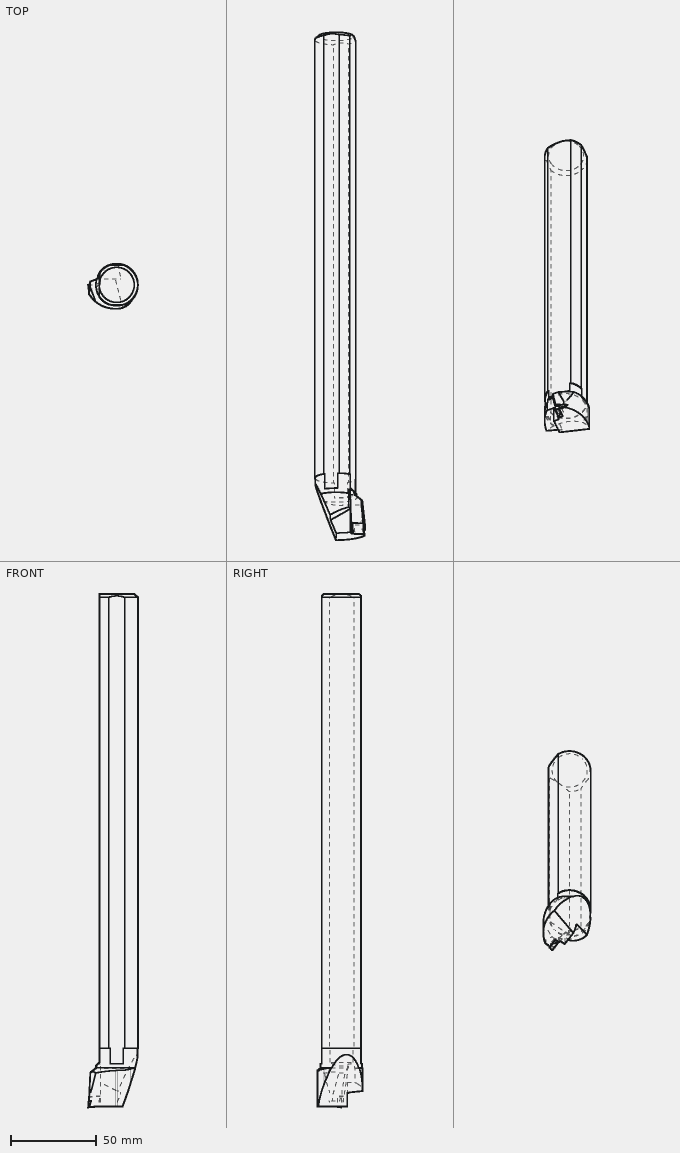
import cadquery as cq
import math

SHANK_RADIUS = 12.5
SHANK_TOP = 300.0
BEVEL_HEIGHT = 2.0
BEVEL_RADIUS = 10.3
SIDE_FLAT_Y = 11.6
LEFT_FLAT_X = 10.2

NECK_TOP = 33.5
NECK_RADIUS = 12.25
SIDE_FLAT_BOTTOM = 24.5
LEFT_FLAT_BOTTOM = 25.3
LEDGE_ANGLE = 45.0

HEAD_BOTTOM = -0.7
HEAD_RADIUS = SHANK_RADIUS
HEAD_FRONT_Y = -14.07
STRIP_LEFT_X = -0.9
STRIP_RIGHT_X = 0.2
LEFT_ARC_RADIUS = 18.0
RIGHT_ARC_RADIUS = 9.8
RIGHT_ARC_END_X = 8.0
RIGHT_FLAT_END_X = 10.0
FLARE_TOP = 22.0
FLARE_BOTTOM = 19.2
FLARE_BOTTOM_RADIUS = 15.6

RELIEF_POINT = (7.3, -11.7, 9.7)
RELIEF_NORMAL = (2.4, 0.62, -1.0)
LEFT_FACE_POINT = (-15.55, 0.0, 19.0)
LEFT_FACE_NORMAL = (-1.0, 0.0, 0.05)
FACET_POINT = (-12.7, -9.0, 19.0)
FACET_NORMAL = (-8.0, -3.1, 1.25)

POCKET_FLOOR_Y = 3.6
POCKET_WALL_X = -9.6
POCKET_STEP_Z = 13.5
POCKET_END_X = 2.2
POCKET_END_Z = 7.5
POCKET_TOP = 22.0
RAMP_BASE_Y = 0.2
RAMP_POINT = (-16.0, RAMP_BASE_Y, 8.0)
RAMP_NORMAL = (-0.25, 1.0, -0.15)

INSERT_EDGE = 6.45
INSERT_NOSE_ANGLE = 80.0
INSERT_LEAD = 5.0
INSERT_THICKNESS = 2.4
INSERT_CLEARANCE = 7.0
UNDERCUT_TOP_X = -15.0
UNDERCUT_TOP_Z = 2.6
UNDERCUT_BOTTOM_X = -16.0
TIP_X = -16.86
TIP_Z = -1.25

BIG = 60.0


def half_space(point, normal):
    """Large block covering the side of a plane that its normal points to."""
    reference = cq.Vector(0, 1, 0) if normal[1] == 0 else cq.Vector(1, 0, 0)
    across = cq.Vector(*normal).cross(reference)
    return cq.Workplane(cq.Plane(point, across, normal)).rect(BIG, BIG).extrude(BIG)


def cylinder(radius, bottom, top):
    return cq.Workplane("XY").workplane(offset=bottom).circle(radius).extrude(top - bottom)


def make_shank():
    bar = (
        cq.Workplane("XZ")
        .moveTo(0, FLARE_TOP)
        .lineTo(NECK_RADIUS, FLARE_TOP)
        .lineTo(NECK_RADIUS, NECK_TOP)
        .lineTo(SHANK_RADIUS, NECK_TOP)
        .lineTo(SHANK_RADIUS, SHANK_TOP - BEVEL_HEIGHT)
        .lineTo(BEVEL_RADIUS, SHANK_TOP)
        .lineTo(0, SHANK_TOP)
        .close()
        .revolve(360, (0, 0, 0), (0, 1, 0))
    )
    for side in (-1, 1):
        flat = cq.Workplane("XY").box(BIG, BIG, SHANK_TOP, centered=(True, True, False))
        bar = bar.cut(flat.translate((0, side * (SIDE_FLAT_Y + BIG / 2), SIDE_FLAT_BOTTOM)))
    ledge_drop = BIG * math.tan(math.radians(LEDGE_ANGLE))
    left_flat = (
        cq.Workplane("XZ")
        .moveTo(-LEFT_FLAT_X, SHANK_TOP)
        .lineTo(-LEFT_FLAT_X, LEFT_FLAT_BOTTOM)
        .lineTo(-LEFT_FLAT_X - BIG, LEFT_FLAT_BOTTOM - ledge_drop)
        .lineTo(-LEFT_FLAT_X - BIG, SHANK_TOP)
        .close()
        .extrude(BIG / 2, both=True)
    )
    return bar.cut(left_flat)


def head_outline():
    """Front half of the head section."""
    left_centre_y = HEAD_FRONT_Y + LEFT_ARC_RADIUS
    right_centre_y = HEAD_FRONT_Y + RIGHT_ARC_RADIUS
    left_angle = math.radians(225)
    right_mid_angle = math.radians(292)
    right_end_y = right_centre_y - math.sqrt(RIGHT_ARC_RADIUS**2 - (RIGHT_ARC_END_X - STRIP_RIGHT_X) ** 2)
    flat_end_y = -math.sqrt(HEAD_RADIUS**2 - RIGHT_FLAT_END_X**2)
    return (
        cq.Workplane("XY")
        .workplane(offset=HEAD_BOTTOM)
        .moveTo(STRIP_LEFT_X - LEFT_ARC_RADIUS, left_centre_y)
        .threePointArc(
            (
                STRIP_LEFT_X + LEFT_ARC_RADIUS * math.cos(left_angle),
                left_centre_y + LEFT_ARC_RADIUS * math.sin(left_angle),
            ),
            (STRIP_LEFT_X, HEAD_FRONT_Y),
        )
        .lineTo(STRIP_RIGHT_X, HEAD_FRONT_Y)
        .threePointArc(
            (
                STRIP_RIGHT_X + RIGHT_ARC_RADIUS * math.cos(right_mid_angle),
                right_centre_y + RIGHT_ARC_RADIUS * math.sin(right_mid_angle),
            ),
            (RIGHT_ARC_END_X, right_end_y),
        )
        .lineTo(RIGHT_FLAT_END_X, flat_end_y)
        .lineTo(0, left_centre_y)
        .close()
    )


def flare_envelope():
    """Round body under the conical flare, wide enough to hold the whole head."""
    flare_slope = (FLARE_TOP - FLARE_BOTTOM) / (FLARE_BOTTOM_RADIUS - NECK_RADIUS)
    return (
        cq.Workplane("XZ")
        .moveTo(0, HEAD_BOTTOM)
        .lineTo(BIG / 2, HEAD_BOTTOM)
        .lineTo(BIG / 2, FLARE_TOP - flare_slope * (BIG / 2 - NECK_RADIUS))
        .lineTo(NECK_RADIUS, FLARE_TOP)
        .lineTo(0, FLARE_TOP)
        .close()
        .revolve(360, (0, 0, 0), (0, 1, 0))
    )


def make_head():
    head = head_outline().extrude(FLARE_TOP - HEAD_BOTTOM)
    head = head.union(cylinder(HEAD_RADIUS, HEAD_BOTTOM, FLARE_TOP))
    head = head.intersect(flare_envelope())
    head = head.cut(half_space(LEFT_FACE_POINT, LEFT_FACE_NORMAL))
    head = head.cut(half_space(FACET_POINT, FACET_NORMAL))
    return head.cut(insert_undercut())


def insert_undercut():
    """Shallow undercut in the left side of the head around the lower end of the insert."""
    return (
        cq.Workplane("XZ")
        .moveTo(UNDERCUT_TOP_X, UNDERCUT_TOP_Z)
        .lineTo(UNDERCUT_BOTTOM_X, HEAD_BOTTOM)
        .lineTo(-BIG, HEAD_BOTTOM)
        .lineTo(-BIG, UNDERCUT_TOP_Z)
        .close()
        .extrude(BIG)
    )


def chip_pocket():
    """Open space on the cutting side, above the pocket floor."""
    return (
        cq.Workplane("XZ", origin=(0, POCKET_FLOOR_Y, 0))
        .moveTo(POCKET_WALL_X, POCKET_TOP)
        .lineTo(POCKET_WALL_X, POCKET_STEP_Z)
        .lineTo(POCKET_END_X, POCKET_END_Z)
        .lineTo(POCKET_END_X, HEAD_BOTTOM)
        .lineTo(-BIG, HEAD_BOTTOM)
        .lineTo(-BIG, POCKET_TOP)
        .close()
        .extrude(-BIG)
    )


def pocket_ramp():
    """Sloped floor that rises from the insert towards the shank and the bar axis."""
    ramp = half_space(RAMP_POINT, RAMP_NORMAL)
    ramp = ramp.intersect(half_space((POCKET_WALL_X, 0, 0), (-1, 0, 0)))
    ramp = ramp.intersect(half_space((0, RAMP_BASE_Y, 0), (0, 1, 0)))
    return ramp.intersect(half_space((0, 0, SIDE_FLAT_BOTTOM), (0, 0, -1)))


def insert_outline():
    lead = math.radians(INSERT_LEAD)
    end = math.radians(90 - INSERT_NOSE_ANGLE - INSERT_LEAD)
    side_x = INSERT_EDGE * math.sin(lead)
    side_z = INSERT_EDGE * math.cos(lead)
    end_x = INSERT_EDGE * math.cos(end)
    end_z = INSERT_EDGE * math.sin(end)
    return cq.Workplane("XZ").polyline(
        [
            (TIP_X, TIP_Z),
            (TIP_X + end_x, TIP_Z + end_z),
            (TIP_X + end_x + side_x, TIP_Z + end_z + side_z),
            (TIP_X + side_x, TIP_Z + side_z),
        ]
    ).close()


def make_insert():
    return insert_outline().extrude(INSERT_THICKNESS, taper=INSERT_CLEARANCE)


def make_bar():
    bar = make_shank().union(make_head())
    bar = bar.cut(half_space(RELIEF_POINT, RELIEF_NORMAL))
    bar = bar.cut(chip_pocket())
    bar = bar.cut(pocket_ramp())
    bar = bar.cut(insert_outline().extrude(-BIG))
    return bar.cut(make_insert())


insert = make_insert()
bar = make_bar()
result = cq.Compound.makeCompound([bar.solids().val(), insert.val()])